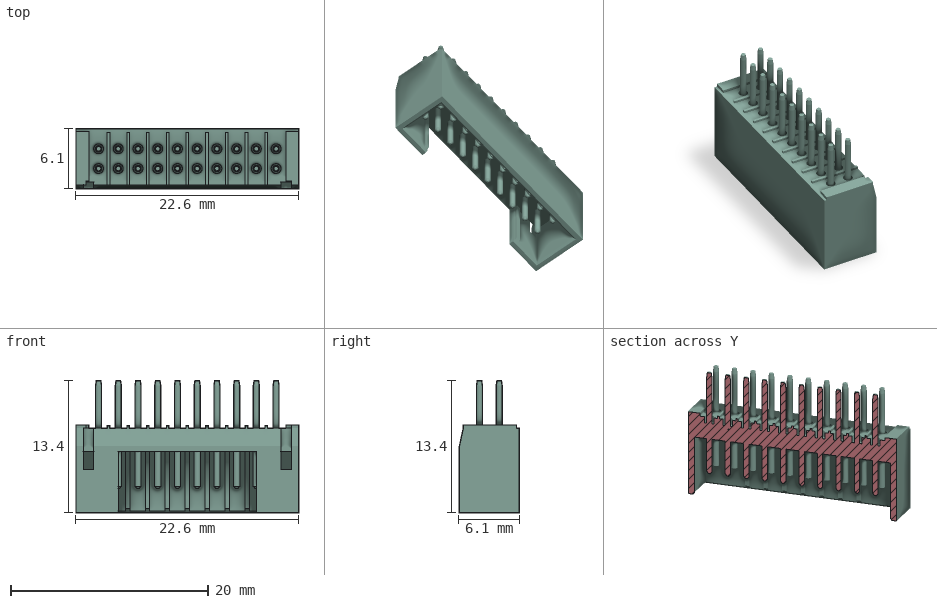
import cadquery as cq


length = 22.6
depth = 6.1
deck_height = 8.59
wall = 0.7
ceiling_height = 6.2
bevel_depth = 0.4
bevel_bottom = 6.73

opening_width = 14.0
rim_chamfer = 0.2
guide_rib_height = 0.25
guide_rib_width = 0.45
guide_rib_span = 12.11
guide_rib_count = 7
jamb_rib_offset = 0.1

pad_width = 1.3
pad_top = 8.9
pad_back_margin = 0.3
deck_rib_width = 0.27
deck_rib_top = 8.84
deck_rib_back_margin = 0.4

slot_width = 1.05
slot_end_margin = 0.77
slot_bottom = 4.4
slot_depth = wall
pad_notch_depth = 0.77
left_notch_shift = 0.27

pin_columns = 10
end_pin_margin = 2.3
pin_diameter = 0.63
pin_top = 13.4
pin_bottom = 2.45
top_taper_height = 0.52
top_tip_diameter = 0.47
bottom_taper_height = 0.25
bottom_tip_diameter = 0.18
recess_diameter = 1.0
recess_depth = 0.68

half_length = length / 2
mid_depth = depth / 2
guide_rib_pitch = guide_rib_span / (guide_rib_count - 1)
pin_pitch = (length - 2 * end_pin_margin) / (pin_columns - 1)
pin_xs = [end_pin_margin - half_length + i * pin_pitch for i in range(pin_columns)]
pin_spots = [(x, mid_depth + side * pin_pitch / 2) for x in pin_xs for side in (-1, 1)]


def block(x_range, y_range, z_range):
    """Box given by its lower and upper limits along each axis."""
    limits = (x_range, y_range, z_range)
    sizes = [high - low for low, high in limits]
    corner = tuple(low for low, high in limits)
    return cq.Workplane("XY").box(*sizes, centered=False).translate(corner)


def housing_shell():
    """Outer block with the sloped front edge, hollowed from below."""
    profile = [
        (0, 0),
        (depth, 0),
        (depth, deck_height),
        (bevel_depth, deck_height),
        (0, bevel_bottom),
    ]
    body = cq.Workplane("YZ").polyline(profile).close().extrude(half_length, both=True)
    cavity_x = half_length - wall
    cavity = block((-cavity_x, cavity_x), (wall, depth - wall), (0, ceiling_height))
    return body.cut(cavity)


def guide_ribs():
    """Upright ribs on the inner back wall and beside the front opening."""
    ribs = cq.Workplane("XY")
    back_face = depth - wall
    back_range = (back_face - guide_rib_height, back_face)
    upright = (0, ceiling_height)
    for i in range(guide_rib_count):
        left = i * guide_rib_pitch - (guide_rib_span + guide_rib_width) / 2
        ribs = ribs.add(block((left, left + guide_rib_width), back_range, upright))
    near = opening_width / 2 + jamb_rib_offset
    far = near + guide_rib_width
    for x_range in ((-far, -near), (near, far)):
        ribs = ribs.add(block(x_range, (wall, wall + guide_rib_height), upright))
    return ribs.combine()


def lead_in():
    """Pyramid frustum that bevels the inner rim and the rib ends in one slope."""
    mouth_x = length - 2 * (wall - rim_chamfer)
    mouth_y = depth - 2 * (wall - rim_chamfer)
    height = rim_chamfer + guide_rib_height
    return (
        cq.Workplane("XY")
        .center(0, mid_depth)
        .rect(mouth_x, mouth_y)
        .workplane(offset=height)
        .rect(mouth_x - 2 * height, mouth_y - 2 * height)
        .loft(ruled=True)
    )


def front_opening():
    half_width = opening_width / 2
    return block((-half_width, half_width), (0, wall), (0, ceiling_height))


def deck_features():
    """End pads and the thin ribs between pin columns."""
    pad_y = (bevel_depth, depth - pad_back_margin)
    pad_z = (deck_height, pad_top)
    features = block((-half_length, pad_width - half_length), pad_y, pad_z)
    features = features.add(block((half_length - pad_width, half_length), pad_y, pad_z))
    for x in pin_xs[:-1]:
        middle = x + pin_pitch / 2
        rib_x = (middle - deck_rib_width / 2, middle + deck_rib_width / 2)
        rib_y = (bevel_depth, depth - deck_rib_back_margin)
        features = features.add(block(rib_x, rib_y, (deck_height, deck_rib_top)))
    return features.combine()


def corner_slots():
    """Front slots reaching into the cavity, and the matching notches in the end pads."""
    outer = half_length - slot_end_margin
    inner = outer - slot_width
    slot_z = (slot_bottom, deck_height)
    notch_z = (deck_height, pad_top)
    slots = block((-outer, -inner), (0, slot_depth), slot_z)
    slots = slots.union(block((inner, outer), (0, slot_depth), slot_z))
    slots = slots.union(block((left_notch_shift - outer, -inner), (0, pad_notch_depth), notch_z))
    return slots.union(block((inner, outer), (0, pad_notch_depth), notch_z))


def pins():
    radius = pin_diameter / 2
    profile = [
        (0, pin_bottom),
        (bottom_tip_diameter / 2, pin_bottom),
        (radius, pin_bottom + bottom_taper_height),
        (radius, pin_top - top_taper_height),
        (top_tip_diameter / 2, pin_top),
        (0, pin_top),
    ]
    pin = cq.Workplane("XZ").polyline(profile).close().revolve(360, (0, 0), (0, 1)).val()
    return cq.Workplane("XY").pushPoints(pin_spots).eachpoint(lambda spot: pin.moved(spot))


def pin_recesses():
    floor = cq.Workplane("XY").workplane(offset=deck_height - recess_depth)
    return floor.pushPoints(pin_spots).circle(recess_diameter / 2).extrude(recess_depth)


housing = housing_shell().union(guide_ribs()).cut(lead_in()).cut(front_opening())
housing = housing.union(deck_features()).cut(corner_slots()).cut(pin_recesses())
result = housing.union(pins())